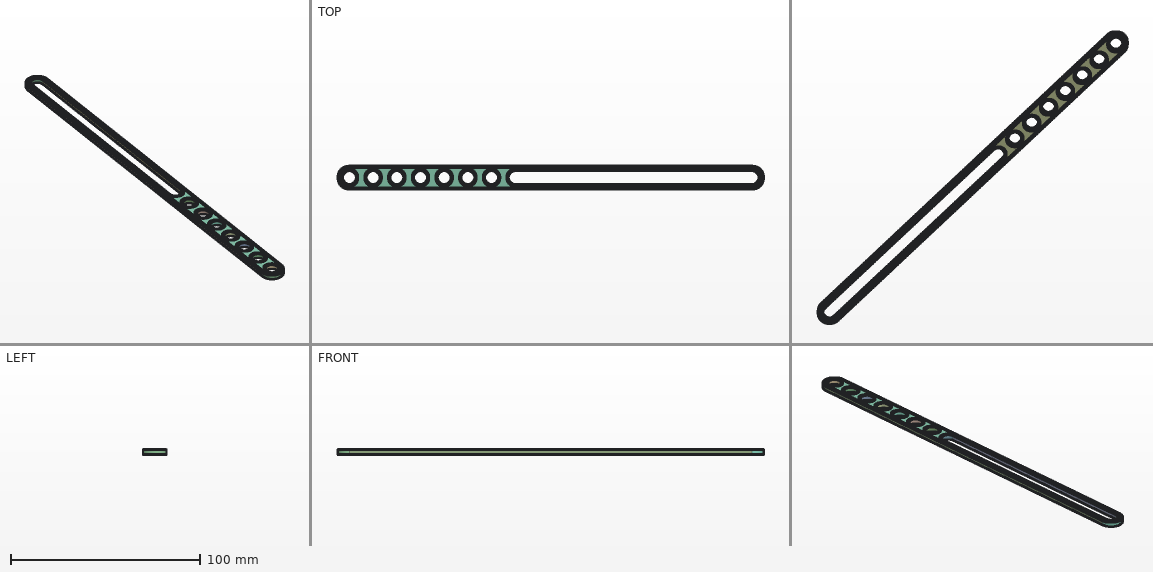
import cadquery as cq
length = 225.0
pitch_count = 18
hole_count = 7
thickness = 3.2
edge_chamfer = 0.5
bore_diameter = 7.0
bore_chamfer = 0.34
collar_diameter = 9.2
lip_width = 1.1
web_recess = 0.2

pitch = length / pitch_count
width = pitch
first_hole_x = -length / 2 + pitch / 2
last_pitch_x = length / 2 - pitch / 2
slot_start_x = first_hole_x + hole_count * pitch

openings = []
for index in range(hole_count):
    hole_x = first_hole_x + index * pitch
    openings.append((hole_x, hole_x))
openings.append((slot_start_x, last_pitch_x))


def round_ended_prism(start_x, end_x, size):
    """Prism of full thickness, centred on Z = 0: a disc, or a slot shape along X."""
    plane = cq.Workplane("XY", origin=((start_x + end_x) / 2, 0, 0))
    if start_x == end_x:
        outline = plane.circle(size / 2)
    else:
        outline = plane.slot2D(end_x - start_x + size, size)
    return outline.extrude(thickness / 2, both=True)


def make_bar():
    """Round-ended flat bar with both outer edges chamfered."""
    bar = round_ended_prism(first_hole_x, last_pitch_x, width)
    return bar.faces("|Z").edges().chamfer(edge_chamfer)


def make_web_cutter():
    """Area inside the lip, leaving out the collars around the openings."""
    cutter = round_ended_prism(first_hole_x, last_pitch_x, width - 2 * lip_width)
    for start_x, end_x in openings:
        cutter = cutter.cut(round_ended_prism(start_x, end_x, collar_diameter))
    return cutter


def make_opening_cutter(start_x, end_x):
    """Through opening with a chamfered rim on both flat faces."""
    bore = round_ended_prism(start_x, end_x, bore_diameter)
    rim = round_ended_prism(start_x, end_x, bore_diameter + 2 * bore_chamfer)
    rim = rim.faces("<Z").edges().chamfer(bore_chamfer)
    upper_rim = rim.translate((0, 0, thickness - bore_chamfer))
    return bore.union(upper_rim).union(upper_rim.mirror("XY"))


result = make_bar()

web_cutter = make_web_cutter()
for side in (1, -1):
    result = result.cut(web_cutter.translate((0, 0, side * (thickness - web_recess))))

for start_x, end_x in openings:
    result = result.cut(make_opening_cutter(start_x, end_x))